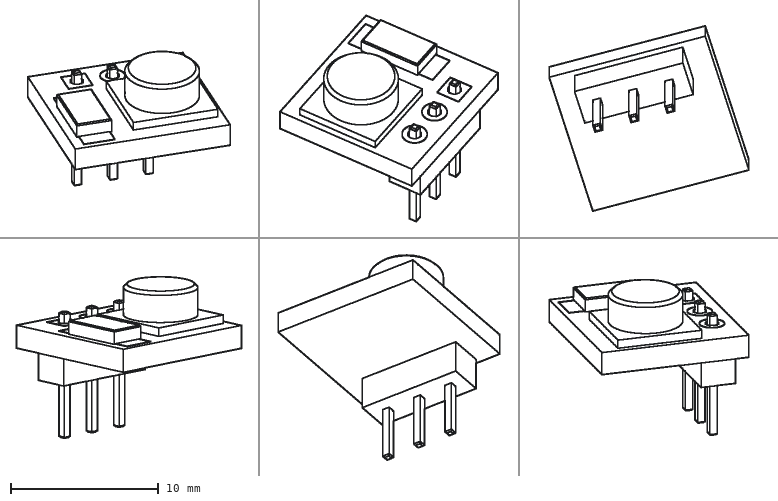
import cadquery as cq

board_x = 10.5
board_y = 11.0
board_thickness = 1.6
pad_thickness = 0.03
pad_top = board_thickness + pad_thickness
left_edge = -board_x / 2
front_edge = -board_y / 2
back_edge = board_y / 2

pin_count = 3
pin_pitch = 2.54
pin_side = 0.54
pin_chamfer = 0.1
pin_below_board = 6.37
pin_above_board = 0.74
pin_positions = [(i - (pin_count - 1) / 2) * pin_pitch for i in range(pin_count)]
header_width = 2.48
header_length = pin_count * pin_pitch
header_height = 2.42
header_x = left_edge + 1.61
hole_x = left_edge + 1.63
pin_hole_diameter = 0.9
pin_pad_size = 1.7

base_side = 6.0
base_height = 0.58
round_x = left_edge + 6.2
round_y = back_edge - 3.45
round_diameter = 5.05
round_top_above_board = 2.71
round_chamfer = 0.24

chip_length = 4.49
chip_width = 2.48
chip_height = 0.96
chip_chamfer = 0.09
chip_x = left_edge + 6.73
chip_y = front_edge + 1.85
chip_pad_length = 6.71
chip_pad_width = 2.2


def block(size_x, size_y, x, y, z_bottom, z_top):
    """Upright box centred on (x, y) between two heights."""
    return (
        cq.Workplane("XY", origin=(x, y, z_bottom))
        .rect(size_x, size_y)
        .extrude(z_top - z_bottom)
    )


def disc(diameter, x, y, z_bottom, z_top):
    """Upright cylinder centred on (x, y) between two heights."""
    return (
        cq.Workplane("XY", origin=(x, y, z_bottom))
        .circle(diameter / 2)
        .extrude(z_top - z_bottom)
    )


def round_component():
    base_top = board_thickness + base_height
    base = block(base_side, base_side, round_x, round_y, board_thickness, base_top)
    cap_top = board_thickness + round_top_above_board
    cap = disc(round_diameter, round_x, round_y, base_top, cap_top)
    return base.union(cap.faces(">Z").chamfer(round_chamfer))


def chip():
    chip_top = board_thickness + chip_height
    body = block(chip_length, chip_width, chip_x, chip_y, board_thickness, chip_top)
    pad = block(chip_pad_length, chip_pad_width, chip_x, chip_y, board_thickness, pad_top)
    return pad.union(body.faces(">Z").chamfer(chip_chamfer))


def pin_pad(pin_index):
    """Solder pad around one pin: square at the front pin, round at the others."""
    y = pin_positions[pin_index]
    if pin_index == 0:
        return block(pin_pad_size, pin_pad_size, hole_x, y, board_thickness, pad_top)
    return disc(pin_pad_size, hole_x, y, board_thickness, pad_top)


def pin_hole(y):
    return disc(pin_hole_diameter, hole_x, y, 0, pad_top)


def header_body():
    return block(header_width, header_length, header_x, 0, -header_height, 0)


def pin(y):
    pin_top = board_thickness + pin_above_board
    shaft = block(pin_side, pin_side, header_x, y, -pin_below_board, pin_top)
    return shaft.faces("<Z or >Z").chamfer(pin_chamfer)


result = block(board_x, board_y, 0, 0, 0, board_thickness)
result = result.union(round_component())
result = result.union(chip())

for index, pin_y in enumerate(pin_positions):
    result = result.union(pin_pad(index))
    result = result.cut(pin_hole(pin_y))

result = result.union(header_body())
for pin_y in pin_positions:
    result = result.union(pin(pin_y))